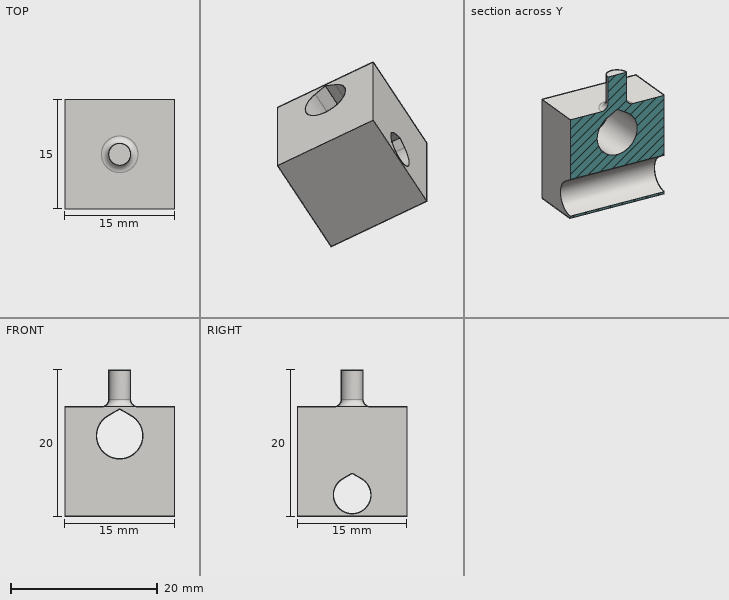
import cadquery as cq
import math

block_side = 15.0

pin_diameter = 3.0
pin_height = 5.0
pin_root_radius = 1.0

roof_slope = math.radians(30)
upper_hole_diameter = 6.3
upper_hole_height = 11.05
lower_hole_diameter = 5.1
lower_hole_height = 2.95


def teardrop_cutter(plane, diameter, height):
    """Teardrop bar through the whole block, with its roof tangent to the circle."""
    radius = diameter / 2
    tangent_x = radius * math.sin(roof_slope)
    tangent_z = height + radius * math.cos(roof_slope)
    tip_z = height + radius / math.cos(roof_slope)
    return (
        cq.Workplane(plane)
        .moveTo(tangent_x, tangent_z)
        .lineTo(0, tip_z)
        .lineTo(-tangent_x, tangent_z)
        .threePointArc((0, height - radius), (tangent_x, tangent_z))
        .close()
        .extrude(block_side, both=True)
    )


def flared_pin():
    """Pin revolved about Z, with a concave quarter-round root."""
    radius = pin_diameter / 2
    root_outer = radius + pin_root_radius
    root_top = block_side + pin_root_radius
    arc_offset = pin_root_radius * math.sqrt(0.5)
    top = block_side + pin_height
    base = block_side - pin_root_radius / 2
    return (
        cq.Workplane("XZ")
        .moveTo(0, base)
        .lineTo(root_outer, base)
        .lineTo(root_outer, block_side)
        .threePointArc((root_outer - arc_offset, root_top - arc_offset), (radius, root_top))
        .lineTo(radius, top)
        .lineTo(0, top)
        .close()
        .revolve(360, (0, 0, 0), (0, 1, 0))
    )


block = cq.Workplane("XY").box(block_side, block_side, block_side, centered=(True, True, False))
upper_hole = teardrop_cutter("XZ", upper_hole_diameter, upper_hole_height)
lower_hole = teardrop_cutter("YZ", lower_hole_diameter, lower_hole_height)

result = block.union(flared_pin()).cut(upper_hole).cut(lower_hole)